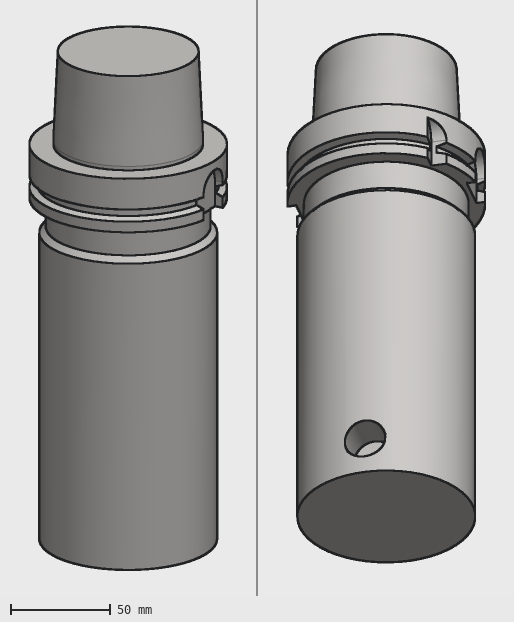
import cadquery as cq

total_height = 263.0
body_radius = 90.0 / 2
neck_radius = 83.5 / 2
flange_radius = 100.0 / 2
body_chamfer = body_radius - neck_radius
body_top = 168.5
flange_bottom = 184.0
flange_top = 213.0

groove_root_radius = 46.0
groove_bottom = 190.0
groove_top = 196.5
groove_flank_rise = 1.5

taper_base_radius = 75.7 / 2
taper_top_radius = 71.3 / 2
collar_height = 2.0

notch_width = 20.0
notch_crown_gap = 5.0
drive_floor = 44.5
index_floor = 31.3
index_offset = 41.0

screw_diameter = 21.0
screw_height = 19.7
screw_depth = 21.0


def revolved_body():
    profile = [
        (0, 0),
        (body_radius, 0),
        (body_radius, body_top - body_chamfer),
        (neck_radius, body_top),
        (neck_radius, flange_bottom),
        (flange_radius, flange_bottom),
        (flange_radius, groove_bottom),
        (groove_root_radius, groove_bottom + groove_flank_rise),
        (groove_root_radius, groove_top - groove_flank_rise),
        (flange_radius, groove_top),
        (flange_radius, flange_top),
        (taper_base_radius, flange_top),
        (taper_base_radius, flange_top + collar_height),
        (taper_top_radius, total_height),
        (0, total_height),
    ]
    return cq.Workplane("XZ").polyline(profile).close().revolve(360, (0, 0), (0, 1))


def notch_cutter(floor, center_y):
    """Arched cutter running in +X from the notch floor past the flange rim."""
    half_width = notch_width / 2
    crown = flange_top - notch_crown_gap
    return (
        cq.Workplane("YZ", origin=(floor, center_y, 0))
        .moveTo(-half_width, flange_bottom)
        .lineTo(half_width, flange_bottom)
        .lineTo(half_width, crown - half_width)
        .threePointArc((0, crown), (-half_width, crown - half_width))
        .close()
        .extrude(flange_radius)
    )


def screw_hole():
    return (
        cq.Workplane("XZ", origin=(0, body_radius - screw_depth, screw_height))
        .circle(screw_diameter / 2)
        .extrude(-body_radius)
    )


drive_notch = notch_cutter(drive_floor, 0)
index_notch = notch_cutter(index_floor, index_offset).mirror("YZ")

result = (
    revolved_body()
    .cut(drive_notch)
    .cut(drive_notch.mirror("YZ"))
    .cut(index_notch)
    .cut(screw_hole())
)